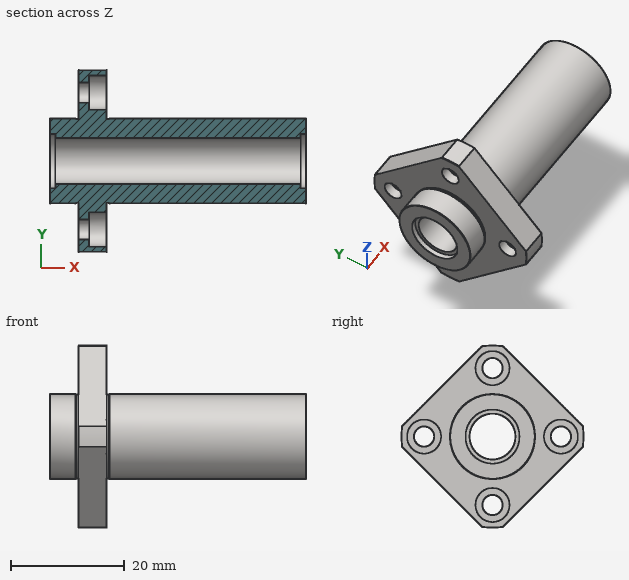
import cadquery as cq

length = 45.0
body_diameter = 15.0
bore_diameter = 8.0
recess_diameter = 9.5
recess_depth = 1.0

edge_break = 0.1

flange_start = 5.0
flange_thickness = 5.0
flange_end = flange_start + flange_thickness
flange_circle = 32.0
flange_side = 25.0

groove_width = 0.5
groove_slope = 0.2
groove_diameter = 14.8

hole_count = 4
hole_diameter = 3.5
counterbore_diameter = 6.0
counterbore_depth = 3.1
bolt_circle_radius = 12.0


def cylinder(diameter, start, size):
    """Solid cylinder along X, beginning at X = start."""
    return cq.Workplane("YZ", origin=(start, 0, 0)).circle(diameter / 2).extrude(size)


def make_body():
    body_radius = body_diameter / 2
    neck_radius = groove_diameter / 2
    front_groove_start = flange_start - groove_width
    rear_groove_end = flange_end + groove_width
    return (
        cq.Workplane("XY")
        .lineTo(0, body_radius - edge_break)
        .lineTo(edge_break, body_radius)
        .lineTo(front_groove_start, body_radius)
        .lineTo(front_groove_start + groove_slope, neck_radius)
        .lineTo(rear_groove_end - groove_slope, neck_radius)
        .lineTo(rear_groove_end, body_radius)
        .lineTo(length - edge_break, body_radius)
        .lineTo(length, body_radius - edge_break)
        .lineTo(length, 0)
        .close()
        .revolve(360, (0, 0, 0), (1, 0, 0))
    )


def make_flange():
    square = (
        cq.Workplane("YZ", origin=(flange_start, 0, 0))
        .rect(flange_side, flange_side)
        .extrude(flange_thickness)
        .rotate((0, 0, 0), (1, 0, 0), 45)
    )
    corner_circle = cylinder(flange_circle, flange_start, flange_thickness)
    flange = square.intersect(corner_circle.faces("<X").edges().chamfer(edge_break))
    return (
        flange.faces(">X")
        .workplane(origin=(flange_end, 0, 0))
        .polarArray(bolt_circle_radius, 0, 360, hole_count)
        .cboreHole(hole_diameter, counterbore_diameter, counterbore_depth)
    )


def cut_bore(part):
    part = part.cut(cylinder(bore_diameter, 0, length))
    for start in (0, length - recess_depth):
        part = part.cut(cylinder(recess_diameter, start, recess_depth))
    return part


result = cut_bore(make_body().union(make_flange()))